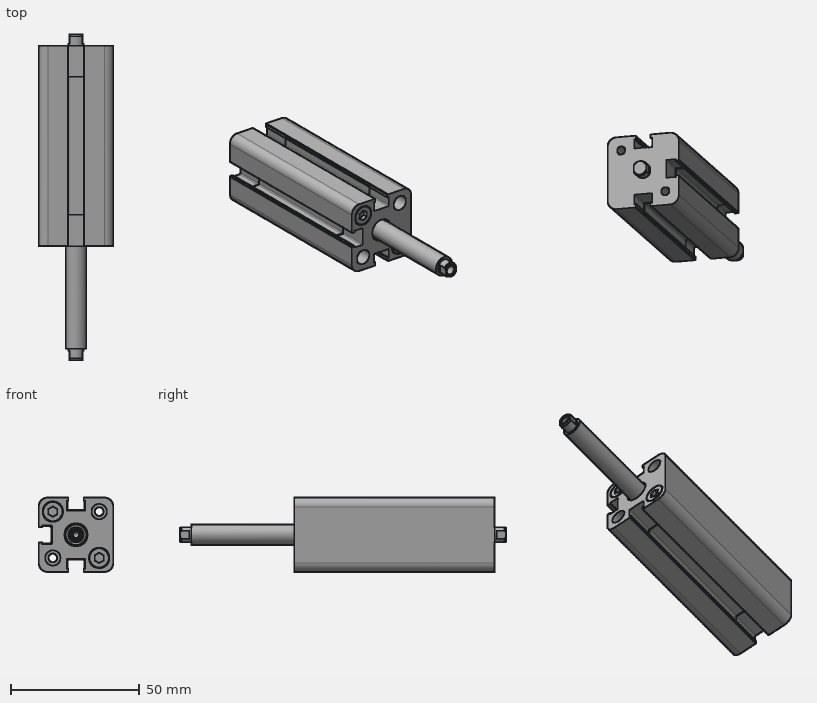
import cadquery as cq
import math

overall_length = 127.0
body_side = 29.1
tip_length = 4.5
rod_length = 40.0
cap_length = 12.2
rod_tip_y = -overall_length / 2
rod_shoulder_y = rod_tip_y + tip_length
front_face_y = rod_shoulder_y + rod_length
rear_face_y = overall_length / 2 - tip_length
corner_radius = 3.5

mouth_width = 6.0
mouth_chamfer = 0.3
slot_floor_radius = 0.4
lip_thickness = 1.4
tube_slot_width = 6.5
tube_slot_depth = 4.8
cap_slot_clearance = 0.4
slot_angles = (0, 90, 180)

corner_offset = 9.0
through_diameter = 3.3
counterbore_diameter = 6.0
counterbore_depth = 6.0
screw_recess_diameter = 8.0
screw_head_diameter = 7.5
screw_gap_depth = 2.5
hex_corner_diameter = 4.1
hex_depth = 2.0

rod_diameter = 8.0
rod_bore_diameter = 9.0
rod_bore_depth = 2.5
tip_diameter = 6.0
tip_chamfer_length = 0.8
tip_chamfer_width = 0.3
tip_flat_width = 5.1
tip_collar_length = 0.8
tip_hole_diameter = 3.5
tip_hole_mouth_diameter = 4.2
tip_hole_depth = 5.1
pilot_diameter = 2.4
pilot_length = 2.0
pilot_point_angle = 118


def section_at(y):
    """Sketch plane across the rod axis at y, with local X along X and local Y along Z."""
    return cq.Workplane(cq.Plane(origin=(0, y, 0), xDir=(1, 0, 0), normal=(0, -1, 0)))


def cylinder(diameter, y_start, y_end, x=0, z=0):
    """Round bar along Y between two positions."""
    return section_at(y_start).center(x, z).circle(diameter / 2).extrude(y_start - y_end)


def slot_cutter(width, depth, y_start, y_end):
    """Cutter for a slot in the top (+Z) side: bevelled mouth, wider channel, rounded floor corners."""
    top = body_side / 2
    mouth = mouth_width / 2
    half = width / 2
    outline = [
        (-mouth - mouth_chamfer, top),
        (-mouth, top - mouth_chamfer),
        (-mouth, top - lip_thickness),
        (-half, top - lip_thickness),
        (-half, top - depth),
        (half, top - depth),
        (half, top - lip_thickness),
        (mouth, top - lip_thickness),
        (mouth, top - mouth_chamfer),
        (mouth + mouth_chamfer, top),
    ]
    cutter = section_at(y_start).polyline(outline).close().extrude(y_start - y_end)
    return cutter.faces("<Z").edges("|Y").fillet(slot_floor_radius)


def make_body():
    """Square housing with rounded long edges and slots on the top, left and bottom."""
    body = section_at(front_face_y).rect(body_side, body_side).extrude(front_face_y - rear_face_y)
    body = body.edges("|Y").fillet(corner_radius)
    tube_slot = slot_cutter(tube_slot_width, tube_slot_depth, front_face_y, rear_face_y)
    cap_width = tube_slot_width + 2 * cap_slot_clearance
    cap_depth = tube_slot_depth + cap_slot_clearance
    front_slot = slot_cutter(cap_width, cap_depth, front_face_y, front_face_y + cap_length)
    rear_slot = slot_cutter(cap_width, cap_depth, rear_face_y - cap_length, rear_face_y)
    for angle in slot_angles:
        for slot in (tube_slot, front_slot, rear_slot):
            body = body.cut(slot.rotate((0, 0, 0), (0, 1, 0), -angle))
    return body


def cut_mounting_hole(body, x, z):
    """Through hole with a counterbore in the front face."""
    body = body.cut(cylinder(through_diameter, front_face_y, rear_face_y, x, z))
    return body.cut(cylinder(counterbore_diameter, front_face_y, front_face_y + counterbore_depth, x, z))


def cut_screw(body, x, z):
    """Flush screw head: a ring gap around the head and a hex socket in it."""
    gap_end = front_face_y + screw_gap_depth
    gap = cylinder(screw_recess_diameter, front_face_y, gap_end, x, z)
    gap = gap.cut(cylinder(screw_head_diameter, front_face_y, gap_end, x, z))
    socket = section_at(front_face_y).center(x, z).transformed(rotate=(0, 0, 90))
    socket = socket.polygon(6, hex_corner_diameter).extrude(-hex_depth)
    return body.cut(gap).cut(socket)


def make_tip():
    """Front rod tip: chamfered stub with two wrench flats that stop at a round collar."""
    tip = cylinder(tip_diameter, rod_tip_y, rod_shoulder_y)
    tip = tip.faces("<Y").chamfer(tip_chamfer_length, tip_chamfer_width)
    flat_length = tip_length - tip_collar_length
    flats = section_at(rod_tip_y).rect(tip_flat_width, tip_diameter).extrude(-flat_length)
    collar = cylinder(tip_diameter, rod_tip_y + flat_length, rod_shoulder_y)
    return tip.intersect(flats.union(collar))


def make_tip_hole():
    """Stepped blind hole with a chamfered mouth and a drill point, turned about the rod axis."""
    radius = tip_hole_diameter / 2
    mouth_radius = tip_hole_mouth_diameter / 2
    pilot_radius = pilot_diameter / 2
    step_y = rod_tip_y + tip_hole_depth
    pilot_end_y = step_y + pilot_length
    point_length = pilot_radius / math.tan(math.radians(pilot_point_angle / 2))
    profile = [
        (0, rod_tip_y),
        (mouth_radius, rod_tip_y),
        (radius, rod_tip_y + mouth_radius - radius),
        (radius, step_y),
        (pilot_radius, step_y),
        (pilot_radius, pilot_end_y),
        (0, pilot_end_y + point_length),
    ]
    return cq.Workplane("XY").polyline(profile).close().revolve(axisStart=(0, 0, 0), axisEnd=(0, 1, 0))


body = make_body()
for side in (-1, 1):
    body = cut_mounting_hole(body, side * corner_offset, side * corner_offset)
    body = cut_screw(body, side * corner_offset, -side * corner_offset)
body = body.cut(cylinder(rod_bore_diameter, front_face_y, front_face_y + rod_bore_depth))

rod = cylinder(rod_diameter, rod_shoulder_y, front_face_y + rod_bore_depth)
front_tip = make_tip()
rear_tip = front_tip.mirror("XZ")

result = body.union(rod).union(front_tip).union(rear_tip).cut(make_tip_hole())